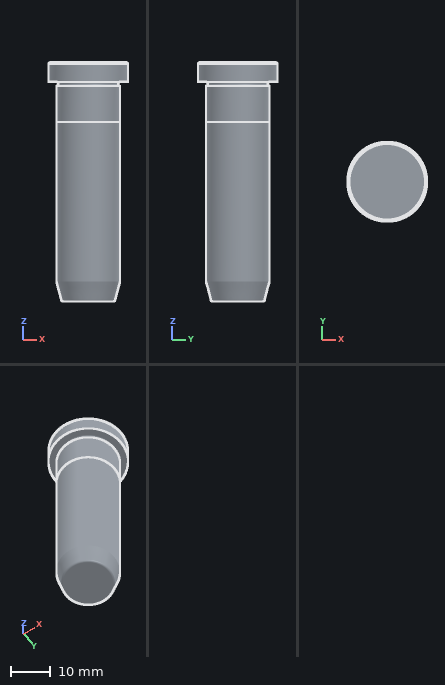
import cadquery as cq
import math

total_length = 60.0
shank_radius = total_length * 2 / 15

head_radius = total_length / 6
head_height = total_length / 12
head_chamfer = 0.5

head_section_length = total_length / 4

groove_radius = 0.5

tip_length = total_length / 12
tip_angle = 15.0
tip_fillet = 0.55

underhead_z = total_length - head_height
joint_z = total_length - head_section_length
tip_radius = shank_radius - tip_length * math.tan(math.radians(tip_angle))


def make_head_section():
    """Chamfered head with its collar and the relief groove between them."""
    groove_mid_z = underhead_z - groove_radius
    profile = (
        cq.Workplane("XZ")
        .moveTo(0, joint_z)
        .lineTo(shank_radius, joint_z)
        .lineTo(shank_radius, groove_mid_z - groove_radius)
        .radiusArc((shank_radius - groove_radius, groove_mid_z), groove_radius)
        .radiusArc((shank_radius, underhead_z), groove_radius)
        .lineTo(head_radius, underhead_z)
        .lineTo(head_radius, total_length)
        .lineTo(0, total_length)
        .close()
    )
    head_section = profile.revolve(360, (0, 0, 0), (0, 1, 0))
    return head_section.faces(">Z").edges().chamfer(head_chamfer)


def make_shank():
    """Plain cylinder ending in a cone with a rounded end edge."""
    profile = (
        cq.Workplane("XZ")
        .lineTo(tip_radius, 0)
        .lineTo(shank_radius, tip_length)
        .lineTo(shank_radius, joint_z)
        .lineTo(0, joint_z)
        .close()
    )
    shank = profile.revolve(360, (0, 0, 0), (0, 1, 0))
    return shank.faces("<Z").edges().fillet(tip_fillet)


head_section = make_head_section()
shank = make_shank()

result = cq.Compound.makeCompound([head_section.val(), shank.val()])